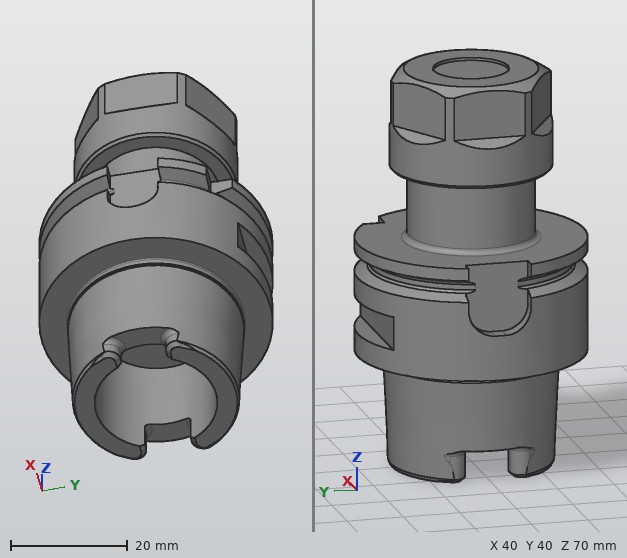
import cadquery as cq
import math

total_height = 70.0
flange_bottom = 20.0
flange_top = 40.05
nut_bottom = 52.5

taper_top_radius = 15.1
taper_bottom_radius = 14.3
collar_radius = 15.1
collar_height = 1.2
collar_fillet = 0.2
relief_height = 0.55
relief_depth = 0.15
end_chamfer_height = 0.7
end_chamfer_width = 0.35
bore_radius = 10.5
bore_depth = flange_bottom

flange_diameter = 40.0
flange_radius = flange_diameter / 2
rim_thickness = 2.2
groove_radius = 17.5
groove_floor_top = 36.9
groove_floor_bottom = 35.2
groove_bottom = 34.0
groove_fillet = 0.55

shank_radius = 11.0
shank_fillet = 1.0

nut_radius = 14.0
nut_lower_chamfer = 0.5
nut_top_radius = 11.55
nut_top_chamfer_angle = 30.0
hexagon_across_flats = 25.0
hexagon_bottom = 61.05
collet_recess_radius = 6.5
collet_recess_depth = 0.5

slot_floor = 17.1
wide_slot_width = 11.05
wide_slot_corner = 4.55
wide_slot_bottom = 27.9
narrow_slot_width = 8.9
narrow_slot_corner = 4.4
narrow_slot_bottom = 28.3

notch_edge = 12.1
cross_slot_floor = 16.65
cross_slot_bottom = 24.1
cross_slot_top = 29.95

keyway_width = 8.0
keyway_lip_radius = 2.1
keyway_lip_reach = 12.8
keyway_flare_angle = 28.0
keyway_outer_half_width = 9.8
keyway_fillet = 0.9
keyway_chamfer_width = 0.85
deep_keyway_height = 5.9
shallow_keyway_height = 3.4

cut_clearance = 7.0
margin = 0.1


def groove_fillet_ends(floor_height, rim_height):
    """Points where the corner fillet meets the groove floor and the cone running out to the rim."""
    run = flange_radius - groove_radius
    rise = rim_height - floor_height
    cone_length = math.hypot(run, rise)
    turn = math.atan2(run, abs(rise))
    tangent_length = groove_fillet * math.tan(turn / 2)
    on_floor = (groove_radius, floor_height - math.copysign(tangent_length, rise))
    on_cone = (
        groove_radius + tangent_length * run / cone_length,
        floor_height + tangent_length * rise / cone_length,
    )
    return on_floor, on_cone


def turned_body():
    """Taper, flange and shank as one solid of revolution."""
    collar_bottom = flange_bottom - collar_height
    relief_radius = collar_radius - relief_depth
    rim_bottom = flange_top - rim_thickness
    lower_fillet_end, lower_fillet_start = groove_fillet_ends(groove_floor_bottom, groove_bottom)
    upper_fillet_start, upper_fillet_end = groove_fillet_ends(groove_floor_top, rim_bottom)
    profile = (
        cq.Workplane("XZ")
        .moveTo(0, 0)
        .lineTo(taper_bottom_radius - end_chamfer_width, 0)
        .lineTo(taper_bottom_radius, end_chamfer_height)
        .lineTo(taper_top_radius, collar_bottom - relief_height)
        .lineTo(relief_radius, collar_bottom - relief_depth)
        .lineTo(collar_radius, collar_bottom)
        .lineTo(collar_radius, flange_bottom - collar_fillet)
        .radiusArc((collar_radius + collar_fillet, flange_bottom), collar_fillet)
        .lineTo(flange_radius, flange_bottom)
        .lineTo(flange_radius, groove_bottom)
        .lineTo(*lower_fillet_start)
        .radiusArc(lower_fillet_end, groove_fillet)
        .lineTo(*upper_fillet_start)
        .radiusArc(upper_fillet_end, groove_fillet)
        .lineTo(flange_radius, rim_bottom)
        .lineTo(flange_radius, flange_top)
        .lineTo(shank_radius + shank_fillet, flange_top)
        .radiusArc((shank_radius, flange_top + shank_fillet), shank_fillet)
        .lineTo(shank_radius, nut_bottom)
        .lineTo(0, nut_bottom)
        .close()
    )
    return profile.revolve(360, (0, 0, 0), (0, 1, 0))


def clamping_nut():
    """Round nut with six wrench flats that run out below in 45 degree slopes."""
    top_drop = (nut_radius - nut_top_radius) * math.tan(math.radians(nut_top_chamfer_angle))
    nut = (
        cq.Workplane("XZ")
        .moveTo(0, nut_bottom)
        .lineTo(nut_radius - nut_lower_chamfer, nut_bottom)
        .lineTo(nut_radius, nut_bottom + nut_lower_chamfer)
        .lineTo(nut_radius, total_height - top_drop)
        .lineTo(nut_top_radius, total_height)
        .lineTo(0, total_height)
        .close()
        .revolve(360, (0, 0, 0), (0, 1, 0))
    )
    flat = hexagon_across_flats / 2
    outside = flat + cut_clearance
    flat_cutter = (
        cq.Workplane("XZ")
        .polyline([
            (flat, total_height),
            (flat, hexagon_bottom),
            (outside, hexagon_bottom - cut_clearance),
            (outside, total_height),
        ])
        .close()
        .extrude(nut_radius, both=True)
    )
    for side in range(6):
        nut = nut.cut(flat_cutter.rotate((0, 0, 0), (0, 0, 1), 60 * side))
    recess = (
        cq.Workplane("XY", origin=(0, 0, total_height - collet_recess_depth))
        .circle(collet_recess_radius)
        .extrude(collet_recess_depth)
    )
    return nut.cut(recess)


def flange_slot(width, corner_radius, bottom, direction):
    """Cutter for a slot open at the top of the flange, on the +X (1) or -X (-1) side."""
    depth = flange_radius + cut_clearance - slot_floor
    height = flange_top - bottom
    return (
        cq.Workplane("XY")
        .box(depth, width, height, centered=(True, True, False))
        .edges("|X and <Z")
        .fillet(corner_radius)
        .translate((direction * (slot_floor + depth / 2), 0, bottom))
    )


def rim_notch():
    """Cutter for the square notch through the upper rim, down into the groove."""
    notch_bottom = (groove_floor_top + groove_floor_bottom) / 2
    return (
        cq.Workplane("XY", origin=(notch_edge, notch_edge, notch_bottom))
        .rect(flange_radius, flange_radius, centered=False)
        .extrude(flange_top - notch_bottom)
    )


def cross_slot():
    """Cutter for the slot running along X across the +Y side of the flange."""
    return (
        cq.Workplane("XY", origin=(0, cross_slot_floor + flange_radius / 2, cross_slot_bottom))
        .rect(2 * flange_radius, flange_radius)
        .extrude(cross_slot_top - cross_slot_bottom)
    )


def keyway_outline():
    """Plan of a drive keyway on the -X side: straight walls, round lips, then outward flares."""
    half_width = keyway_width / 2
    outside = taper_top_radius + cut_clearance
    lip_x = keyway_lip_radius - keyway_lip_reach
    lip_y = half_width + keyway_lip_radius
    flare = math.radians(keyway_flare_angle)
    lip_end_x = lip_x - keyway_lip_radius * math.cos(flare)
    lip_end_y = lip_y + keyway_lip_radius * math.sin(flare)
    flare_x = lip_end_x + (keyway_outer_half_width - lip_end_y) * math.tan(flare)
    return (
        cq.Workplane("XY")
        .moveTo(0, -half_width)
        .lineTo(lip_x, -half_width)
        .radiusArc((lip_end_x, -lip_end_y), -keyway_lip_radius)
        .lineTo(flare_x, -keyway_outer_half_width)
        .lineTo(-outside, -keyway_outer_half_width)
        .lineTo(-outside, keyway_outer_half_width)
        .lineTo(flare_x, keyway_outer_half_width)
        .lineTo(lip_end_x, lip_end_y)
        .radiusArc((lip_x, half_width), -keyway_lip_radius)
        .lineTo(0, half_width)
        .close()
    )


def keyway(height):
    """Cutter for a drive keyway with a filleted ceiling and a chamfered mouth."""
    wall_edges = cq.selectors.BoxSelector(
        (-keyway_lip_reach - margin, margin - keyway_outer_half_width, height - margin),
        (-margin, keyway_outer_half_width - margin, height + margin),
    )
    pocket = keyway_outline().extrude(height).edges(wall_edges).fillet(keyway_fillet)
    chamfer_angle = math.degrees(math.atan(keyway_chamfer_width / end_chamfer_height))
    mouth = keyway_outline().offset2D(keyway_chamfer_width).extrude(end_chamfer_height, taper=chamfer_angle)
    return pocket.union(mouth)


bore = cq.Workplane("XY").circle(bore_radius).extrude(bore_depth)
deep_keyway = keyway(deep_keyway_height)
shallow_keyway = keyway(shallow_keyway_height).rotate((0, 0, 0), (0, 0, 1), 180)

result = (
    turned_body()
    .cut(bore)
    .cut(deep_keyway)
    .cut(shallow_keyway)
    .cut(flange_slot(wide_slot_width, wide_slot_corner, wide_slot_bottom, -1))
    .cut(flange_slot(narrow_slot_width, narrow_slot_corner, narrow_slot_bottom, 1))
    .cut(rim_notch())
    .cut(cross_slot())
    .union(clamping_nut())
)